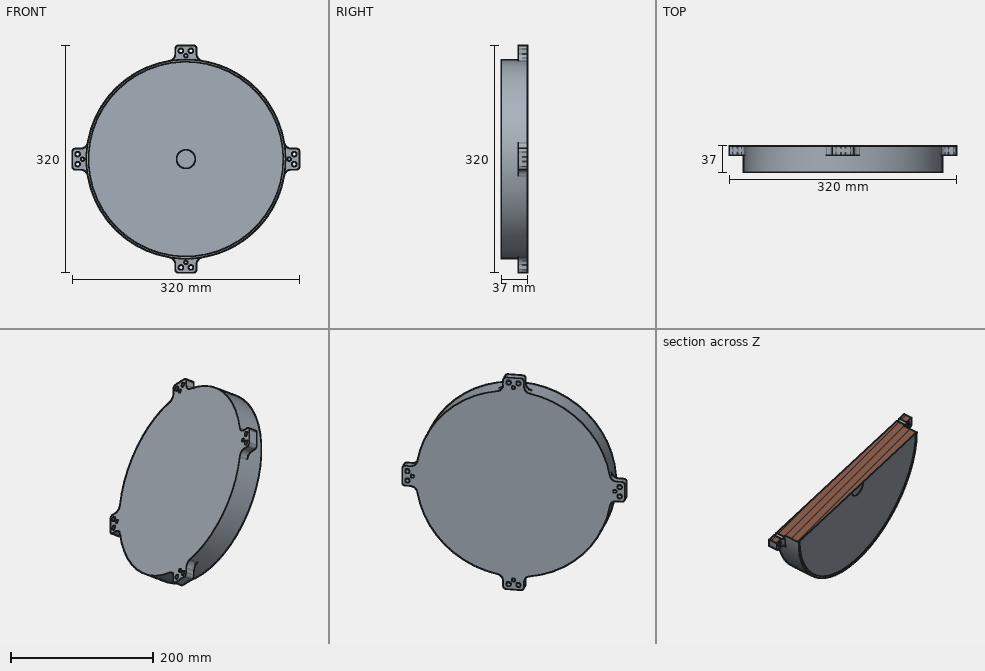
import cadquery as cq
import math

overall_size = 320.0
overall_depth = 37.0
body_radius = 140.0
front_recess_radius = 137.0
front_recess_depth = 0.3
center_boss_radius = 13.0
center_boss_height = 0.15

tab_width = 30.0
tab_depth = 13.5
tab_corner_radius = 4.8
tab_root_radius = 10.0
tab_count = 4

mount_hole_diameter = 6.5
mount_hole_spacing = 14.0
mount_hole_edge_distance = 7.7
pin_hole_diameter = 4.8
pin_hole_edge_distance = 14.7

back_y = overall_depth / 2
front_y = -overall_depth / 2
tab_tip = overall_size / 2
tab_half_width = tab_width / 2


def disc(radius, start_y, depth):
    """Disc reaching from start_y toward the front."""
    return cq.Workplane("XZ", origin=(0, start_y, 0)).circle(radius).extrude(depth)


def make_body():
    """Main disc with a narrow front rim around a shallow recess and a low center boss."""
    recess_floor_y = front_y + front_recess_depth
    main = disc(body_radius, back_y, overall_depth)
    recess = disc(front_recess_radius, recess_floor_y, front_recess_depth)
    center_boss = disc(center_boss_radius, recess_floor_y, center_boss_height)
    return main.cut(recess).union(center_boss)


def make_tab():
    """Upper mounting tab, blended into the disc by arcs tangent to both."""
    root_x = tab_half_width + tab_root_radius
    root_z = math.sqrt((body_radius + tab_root_radius) ** 2 - root_x**2)
    contact_ratio = body_radius / (body_radius + tab_root_radius)
    contact_x = root_x * contact_ratio
    contact_z = root_z * contact_ratio

    contact_angle = math.atan2(-root_z, -root_x)
    middle_angle = (contact_angle - math.pi) / 2
    middle_x = root_x + tab_root_radius * math.cos(middle_angle)
    middle_z = root_z + tab_root_radius * math.sin(middle_angle)

    foot_z = body_radius - tab_width / 2
    return (
        cq.Workplane("XZ", origin=(0, back_y, 0))
        .moveTo(-contact_x, foot_z)
        .lineTo(-contact_x, contact_z)
        .threePointArc((-middle_x, middle_z), (-tab_half_width, root_z))
        .lineTo(-tab_half_width, tab_tip)
        .lineTo(tab_half_width, tab_tip)
        .lineTo(tab_half_width, root_z)
        .threePointArc((middle_x, middle_z), (contact_x, contact_z))
        .lineTo(contact_x, foot_z)
        .close()
        .extrude(tab_depth)
        .edges("|Y and >Z")
        .fillet(tab_corner_radius)
    )


def make_tab_holes():
    """Two mounting holes and one pin hole, all through the upper tab."""
    mount_x = mount_hole_spacing / 2
    mount_z = tab_tip - mount_hole_edge_distance
    pin_z = tab_tip - pin_hole_edge_distance
    plane = cq.Workplane("XZ", origin=(0, back_y, 0))
    mount_holes = (
        plane.pushPoints([(-mount_x, mount_z), (mount_x, mount_z)])
        .circle(mount_hole_diameter / 2)
        .extrude(tab_depth)
    )
    pin_hole = plane.center(0, pin_z).circle(pin_hole_diameter / 2).extrude(tab_depth)
    return mount_holes.union(pin_hole)


result = make_body()
tab = make_tab().cut(make_tab_holes())
for index in range(tab_count):
    angle = index * 360 / tab_count
    result = result.union(tab.rotate((0, 0, 0), (0, 1, 0), angle))